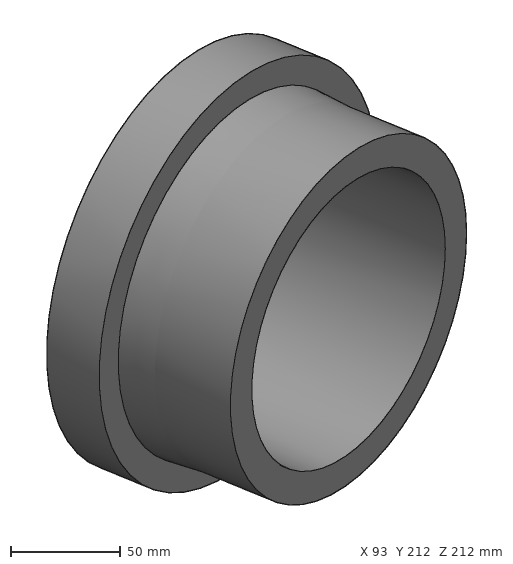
import cadquery as cq

total_length = 93.0
collar_length = 30.0
neck_length = 20.0
collar_radius = 212 / 2
neck_radius = 183.0 / 2
spigot_radius = 180.0 / 2
bore_radius = 147.3 / 2

neck_end = collar_length + neck_length

half_section = (
    cq.Workplane("XY")
    .moveTo(0, bore_radius)
    .lineTo(0, collar_radius)
    .lineTo(collar_length, collar_radius)
    .lineTo(collar_length, neck_radius)
    .lineTo(neck_end, spigot_radius)
    .lineTo(total_length, spigot_radius)
    .lineTo(total_length, bore_radius)
    .close()
)

result = half_section.revolve(360, (0, 0, 0), (1, 0, 0))